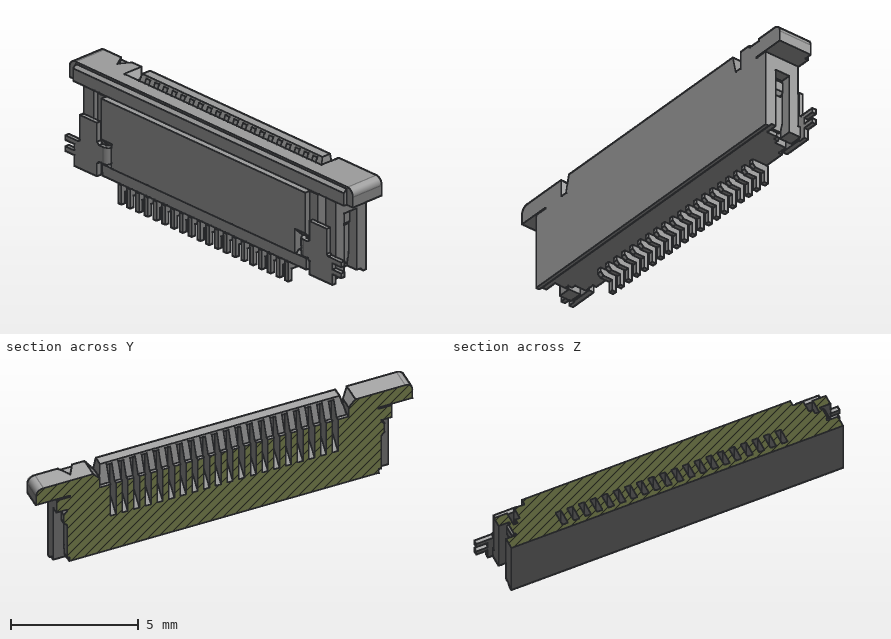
import cadquery as cq


length = 16.1
depth = 2.0
height = 5.0

bar_bottom = 4.22
bar_front = 0.43
bar_corner_radius = 0.32
lip_half_length = 7.7
lip_front = 0.29
lip_top = 4.91
lip_chamfer = 0.15

opening_half_length = 5.6
opening_front = 1.06
ramp_run = 0.29
ramp_drop = 0.32
opening_corner_depth = 0.29

mark_x = -6.44
mark_width = 0.61
mark_length = 0.52
mark_depth = 0.1

body_half_length = 7.16
body_bottom = 0.84
body_front = 0.24
shoulder_top = 4.17
shoulder_front = 0.35
shoulder_bottom = 1.32
shoulder_inner_x = 6.58
core_half_length = 6.25
plate_half_length = 5.8
plate_step_front = 0.06
plate_step_top = 1.37
rail_bottom = 0.7
rail_thickness = 0.16
rail_slope = 0.15

groove_step_x = 6.42
groove_deep_floor = 0.97
groove_shallow_floor = 0.77

slot_front = 0.8
slot_back = 1.48
slot_top = 3.53
slot_depth = 0.55
arm_depth = 0.45
arm_bottom = 1.03
arm_taper_height = 0.42
arm_taper = 0.08
latch_inset = 0.08
latch_height = 0.15
latch_levels = (2.72, 2.88, 3.32, 3.48)

tongue_base_half = 5.3
tongue_top_half = 5.12
tongue_base_front = 1.27
tongue_top_front = 1.58

contact_count = 20
contact_pitch = 0.5
contact_width = 0.2
contact_thickness = 0.2
lead_back = 0.77
lead_step = 0.5
lead_chamfer = 0.15
contact_slot_front = 1.15
contact_slot_back = 1.77
contact_slot_roof = 0.1
contact_slot_depth = 2.42
contact_slot_width = 0.23

window_inner_x = 5.22
window_bottom = 1.27
window_top = 2.45
window_sill_rise = 0.21

tab_thickness = 0.2
tab_top = 3.08
tab_bottom = 0.74
tab_inner_x = 6.04
tab_upper_outer_x = 7.02
tab_lower_outer_x = 7.34
tab_foot_bottom = 1.42
tab_foot_top = 2.14
tab_foot_chamfer = 0.11
tab_bend_radius = 0.3
tab_bend_end_x = 5.4
tab_foot_end = 0.48
prong_tip_x = 7.84
prong_width = 0.21
prong_bottoms = (1.2, 1.69)
tab_relief = 0.08
peg_bottom = 1.63
peg_top = 1.93
peg_front = 0.3


def block(x_range, y_range, z_range):
    """Box between the given limits."""
    ranges = (x_range, y_range, z_range)
    sizes = [high - low for low, high in ranges]
    corner = tuple(low for low, high in ranges)
    return cq.Workplane("XY").box(*sizes, centered=False).translate(corner)


def prism_along_x(points, x_start, x_end):
    """Prism along X with a profile of (Y, Z) points."""
    return cq.Workplane("YZ", origin=(x_start, 0, 0)).polyline(points).close().extrude(x_end - x_start)


def prism_along_y(points, y_start, y_end):
    """Prism along Y with a profile of (X, Z) points."""
    return cq.Workplane("XZ", origin=(0, y_start, 0)).polyline(points).close().extrude(y_start - y_end)


def prism_along_z(points, z_start, z_end):
    """Prism along Z with a profile of (X, Y) points."""
    return cq.Workplane("XY", origin=(0, 0, z_start)).polyline(points).close().extrude(z_end - z_start)


def both_ends(left):
    """A left-hand feature together with its mirror image on the right."""
    return left.union(left.mirror("YZ"))


def sliding_bar():
    bar = block((-length / 2, length / 2), (bar_front, depth), (bar_bottom, height))
    bar = bar.edges("|Y and >Z").fillet(bar_corner_radius)
    lip_profile = [
        (bar_front, bar_bottom),
        (lip_front, bar_bottom),
        (lip_front, lip_top - lip_chamfer),
        (bar_front, lip_top),
    ]
    bar = bar.union(prism_along_x(lip_profile, -lip_half_length, lip_half_length))
    bar = bar.cut(cable_opening())
    mark = [
        (mark_x - mark_width / 2, depth),
        (mark_x, depth - mark_length),
        (mark_x + mark_width / 2, depth),
    ]
    return bar.cut(prism_along_z(mark, height - mark_depth, height))


def cable_opening():
    """Through opening with ramped end walls whose back corners are cut off diagonally."""
    wall_x = opening_half_length - ramp_run
    slot = block((-wall_x, wall_x), (opening_front, depth), (bar_bottom, height))
    ramp = [
        (-opening_half_length, height),
        (-wall_x, height - ramp_drop),
        (-wall_x, height),
    ]
    corner = [
        (-opening_half_length, depth),
        (-wall_x, depth),
        (-wall_x, depth - opening_corner_depth),
    ]
    end = prism_along_y(ramp, opening_front, depth).union(prism_along_z(corner, bar_bottom, height))
    return slot.union(both_ends(end))


def housing():
    core = block(
        (-shoulder_inner_x, shoulder_inner_x), (body_front, depth), (body_bottom, bar_bottom)
    )
    plate_profile = [
        (0, bar_bottom),
        (0, plate_step_top),
        (plate_step_front, plate_step_top),
        (plate_step_front, body_bottom),
        (body_front, body_bottom),
        (body_front, bar_bottom),
    ]
    plate = prism_along_x(plate_profile, -plate_half_length, plate_half_length)
    shoulder_profile = [
        (depth, body_bottom),
        (body_front, body_bottom),
        (body_front, shoulder_bottom),
        (shoulder_front, shoulder_bottom),
        (shoulder_front, shoulder_top),
        (depth, shoulder_top),
    ]
    shoulder = prism_along_x(shoulder_profile, -body_half_length, -shoulder_inner_x)
    rail_front = depth - rail_thickness
    rail_profile = [
        (depth, body_bottom),
        (depth, rail_bottom),
        (rail_front, rail_bottom),
        (rail_front - rail_slope, body_bottom),
    ]
    rail = prism_along_x(rail_profile, -body_half_length, body_half_length)
    body = core.union(plate).union(both_ends(shoulder)).union(rail)
    return body.cut(both_ends(groove())).cut(both_ends(side_slot())).union(both_ends(latch_arm()))


def groove():
    """Stepped vertical groove beside the left shoulder, open at the bottom."""
    levels = (body_bottom, bar_bottom)
    deep = block((-shoulder_inner_x, -groove_step_x), (body_front, groove_deep_floor), levels)
    shallow = block((-groove_step_x, -core_half_length), (body_front, groove_shallow_floor), levels)
    return deep.union(shallow)


def side_slot():
    floor_x = slot_depth - body_half_length
    return block((-body_half_length, floor_x), (slot_front, slot_back), (body_bottom, slot_top))


def latch_arm():
    """Arm with a tapered tip in the left slot, carrying a bevelled latch."""
    arm_x = arm_depth - body_half_length
    taper_top = arm_bottom + arm_taper_height
    arm_profile = [
        (slot_front, slot_top),
        (slot_front, taper_top),
        (slot_front + arm_taper, arm_bottom),
        (slot_back - arm_taper, arm_bottom),
        (slot_back, taper_top),
        (slot_back, slot_top),
    ]
    arm = prism_along_x(arm_profile, arm_x, slot_depth - body_half_length)
    latch_x = arm_x - latch_height
    foot, face_bottom, face_top, head = latch_levels
    latch_profile = [(arm_x, foot), (latch_x, face_bottom), (latch_x, face_top), (arm_x, head)]
    latch = prism_along_y(latch_profile, slot_front + latch_inset, slot_back - latch_inset)
    return arm.union(latch)


def tongue():
    """Block behind the opening with sloping front and ends."""
    side_profile = [
        (depth, bar_bottom),
        (tongue_base_front, bar_bottom),
        (tongue_top_front, height),
        (depth, height),
    ]
    front_profile = [
        (-tongue_base_half, bar_bottom),
        (tongue_base_half, bar_bottom),
        (tongue_top_half, height),
        (-tongue_top_half, height),
    ]
    side = prism_along_x(side_profile, -tongue_base_half, tongue_base_half)
    return side.intersect(prism_along_y(front_profile, tongue_base_front, depth))


def at_each_contact(shape):
    """One copy of a shape at every contact position."""
    first_x = -(contact_count - 1) * contact_pitch / 2
    row = cq.Workplane("XY")
    for index in range(contact_count):
        row = row.add(shape.translate((first_x + index * contact_pitch, 0, 0)))
    return row.combine()


def contact_slot():
    """Slot through the tongue front, roofed at the top and with a floor sloping at 45 degrees."""
    floor_front = height - contact_slot_depth
    roof = height - contact_slot_roof
    profile = [
        (contact_slot_front, floor_front),
        (contact_slot_back, floor_front + contact_slot_back - contact_slot_front),
        (contact_slot_back, roof),
        (contact_slot_front, roof),
    ]
    return prism_along_x(profile, -contact_slot_width / 2, contact_slot_width / 2)


def contact_lead():
    profile = [
        (0, 0),
        (contact_thickness, 0),
        (contact_thickness, lead_step),
        (lead_back - lead_chamfer, lead_step),
        (lead_back, lead_step + lead_chamfer),
        (lead_back, body_bottom),
        (0, body_bottom),
    ]
    return prism_along_x(profile, -contact_width / 2, contact_width / 2)


def tab_window():
    """Left window in the front plate, with a 45 degree sill, a level floor and a 45 degree ceiling."""
    floor = window_bottom + window_sill_rise
    profile = [
        (0, window_bottom),
        (window_sill_rise, floor),
        (window_top - floor, floor),
        (0, window_top),
    ]
    return prism_along_x(profile, -plate_half_length, -window_inner_x)


def solder_tab():
    """Left solder tab: flat plate with two prongs and a foot bent into the window."""
    bend_start_x = tab_bend_end_x + tab_bend_radius
    foot_root_x = tab_inner_x - tab_foot_chamfer
    prong_root = prong_bottoms[1] + prong_width
    outline = [
        (-tab_upper_outer_x, tab_top),
        (-tab_inner_x, tab_top),
        (-tab_inner_x, tab_foot_top + tab_foot_chamfer),
        (-foot_root_x, tab_foot_top),
        (-bend_start_x, tab_foot_top),
        (-bend_start_x, tab_foot_bottom),
        (-foot_root_x, tab_foot_bottom),
        (-tab_inner_x, tab_foot_bottom - tab_foot_chamfer),
        (-tab_inner_x, tab_bottom),
        (-tab_lower_outer_x, tab_bottom),
        (-tab_lower_outer_x, prong_root),
        (-tab_upper_outer_x - tab_relief, prong_root),
        (-tab_upper_outer_x, prong_root + tab_relief),
    ]
    tab = prism_along_y(outline, 0, tab_thickness)
    for bottom in prong_bottoms:
        prong = block(
            (-prong_tip_x, -tab_lower_outer_x), (0, tab_thickness), (bottom, bottom + prong_width)
        )
        tab = tab.union(prong)
    backing = block(
        (-tab_upper_outer_x, -tab_inner_x), (tab_thickness, body_front), (tab_bottom, shoulder_bottom)
    )
    bend_inner_radius = tab_bend_radius - tab_thickness
    foot = (
        cq.Workplane("XY", origin=(0, 0, tab_foot_bottom))
        .moveTo(-bend_start_x, 0)
        .radiusArc((-tab_bend_end_x, tab_bend_radius), -tab_bend_radius)
        .lineTo(-tab_bend_end_x, tab_foot_end)
        .lineTo(-tab_bend_end_x - tab_thickness, tab_foot_end)
        .lineTo(-tab_bend_end_x - tab_thickness, tab_bend_radius)
        .radiusArc((-bend_start_x, tab_thickness), bend_inner_radius)
        .close()
        .extrude(tab_foot_top - tab_foot_bottom)
    )
    peg = block(
        (-tab_bend_end_x, -window_inner_x), (peg_front, tab_foot_end), (peg_bottom, peg_top)
    )
    return tab.union(backing).union(foot).union(peg)


result = (
    housing()
    .union(sliding_bar())
    .union(tongue())
    .cut(at_each_contact(contact_slot()))
    .union(at_each_contact(contact_lead()))
    .cut(both_ends(tab_window()))
    .union(both_ends(solder_tab()))
)